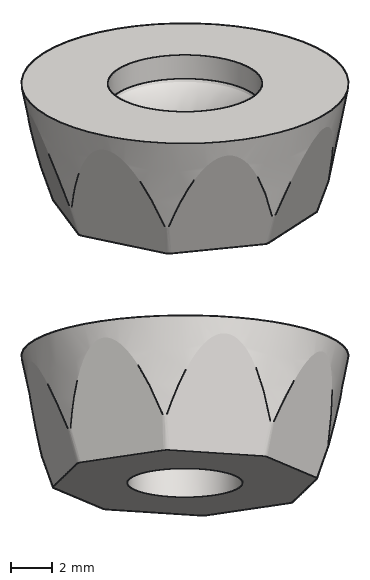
import cadquery as cq
import math

height = 6.35
top_radius = 7.94
cone_angle = 11.0

flat_count = 8
flat_angle = 17.8
flat_rotation = -3.0
base_apothem = 6.0
corner_radius = 0.4

hole_radius = 2.8
recess_radius = 3.75
recess_depth = 1.24
seat_radius = 3.68
seat_top_depth = 1.38
seat_bottom_depth = 3.67


def make_cone():
    base_radius = top_radius - height * math.tan(math.radians(cone_angle))
    return cq.Workplane("XZ").polyline(
        [(0, 0), (base_radius, 0), (top_radius, height), (0, height)]
    ).close().revolve(360, (0, 0), (0, 1))


def make_flat_envelope():
    """Flaring pyramid with rounded corners that bounds the flats."""
    top_apothem = base_apothem + height * math.tan(math.radians(flat_angle))
    corner_factor = 1 / math.cos(math.pi / flat_count)
    turn = flat_rotation + 180 / flat_count
    pyramid = (
        cq.Workplane("XY")
        .polygon(flat_count, 2 * base_apothem * corner_factor)
        .workplane(offset=height)
        .polygon(flat_count, 2 * top_apothem * corner_factor)
        .loft(ruled=True)
    )
    rounded = pyramid.edges("not #Z").fillet(corner_radius)
    return rounded.rotate((0, 0, 0), (0, 0, 1), turn)


def make_bore():
    """Through hole, convex screw seat tangent to it, short taper and straight recess."""
    seat_bottom = height - seat_bottom_depth
    seat_top = height - seat_top_depth
    rise = seat_top - seat_bottom
    spread = seat_radius - hole_radius
    curve_radius = (rise**2 + spread**2) / (2 * spread)
    half_sweep = math.asin(rise / curve_radius) / 2
    middle = (
        hole_radius + curve_radius * (1 - math.cos(half_sweep)),
        seat_bottom + curve_radius * math.sin(half_sweep),
    )
    return (
        cq.Workplane("XZ")
        .moveTo(0, 0)
        .lineTo(hole_radius, 0)
        .lineTo(hole_radius, seat_bottom)
        .threePointArc(middle, (seat_radius, seat_top))
        .lineTo(recess_radius, height - recess_depth)
        .lineTo(recess_radius, height)
        .lineTo(0, height)
        .close()
        .revolve(360, (0, 0), (0, 1))
    )


result = make_cone().intersect(make_flat_envelope()).cut(make_bore())